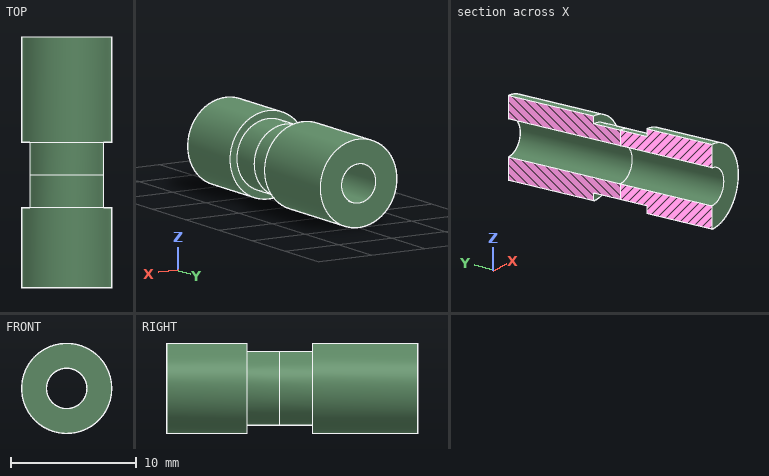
import cadquery as cq

total_length = 20.0
front_collar_length = 6.4
neck_length = 2.6
back_collar_length = total_length - front_collar_length - 2 * neck_length

collar_diameter = 7.2
neck_diameter = 5.9
bore_diameter = 3.2


def stepped_sleeve(collar_length, direction):
    """Bored sleeve from its neck end at Y = 0; direction is +1 toward +Y or -1 toward -Y."""
    neck_end = direction * neck_length
    outer_end = direction * (neck_length + collar_length)
    bore_radius = bore_diameter / 2
    neck_radius = neck_diameter / 2
    collar_radius = collar_diameter / 2
    half_section = [
        (bore_radius, 0),
        (neck_radius, 0),
        (neck_radius, neck_end),
        (collar_radius, neck_end),
        (collar_radius, outer_end),
        (bore_radius, outer_end),
    ]
    return cq.Workplane("XY").polyline(half_section).close().revolve(360, (0, 0, 0), (0, 1, 0))


front_sleeve = stepped_sleeve(front_collar_length, -1)
back_sleeve = stepped_sleeve(back_collar_length, 1)

result = cq.Compound.makeCompound([front_sleeve.val(), back_sleeve.val()])